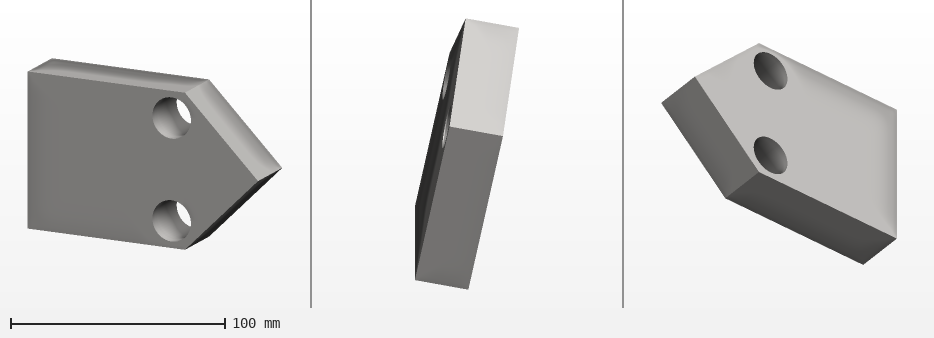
import cadquery as cq

length = 120.0
thickness = 25.5
height = 76.2

half_height = height / 2
shoulder_x = length - half_height

hole_diameter = 20.0
hole_x = 75.0
hole_spacing = 49.9


def pointed_plate():
    """Plate with a square left end and a pointed right end, its back face on Y = 0."""
    outline = [
        (0, -half_height),
        (shoulder_x, -half_height),
        (length, 0),
        (shoulder_x, half_height),
        (0, half_height),
    ]
    return cq.Workplane("XZ").polyline(outline).close().extrude(thickness)


def through_holes():
    """Cylinders along Y that cut the two holes through the full thickness."""
    centres = [(hole_x, side * hole_spacing / 2) for side in (-1, 1)]
    return cq.Workplane("XZ").pushPoints(centres).circle(hole_diameter / 2).extrude(thickness)


result = pointed_plate().cut(through_holes())